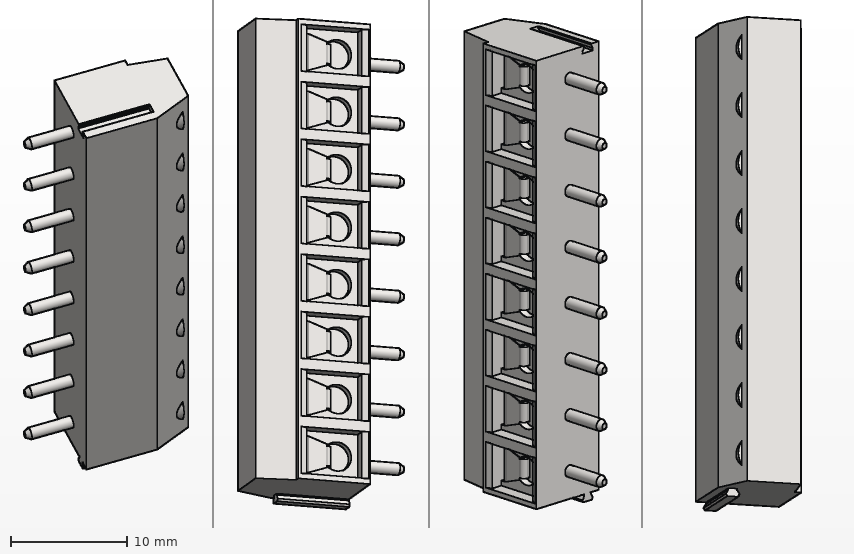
import cadquery as cq
import math


pole_count = 8
overall_length = 41.35
body_length = 40.63
pitch = body_length / pole_count

body_width = 7.5
body_height = 10.0
shoulder_height = 6.55
entry_ledge = 0.58
entry_top_x = 1.1
slope_top_x = 5.95

pocket_bottom = 0.12
pocket_top = 6.25
pocket_lead_in = 0.58
lead_in_depth = 0.25
pocket_width = 4.15
pocket_depth = 1.32

recess_depth = 0.8
wire_hole_y = 2.55
wire_hole_radius = 1.3
clamp_low_y = 3.47
clamp_high_y = 5.15
clamp_low_width = 2.05
clamp_high_width = 3.22

tongue_tip_width = 1.75
tongue_set_back = 0.05
bend_radius = pocket_top - pocket_lead_in - clamp_high_y

screw_radius = 2.0
screw_side_x = 6.55
screw_top_y = 9.4

pin_x = 3.95
pin_diameter = 1.07
pin_length = 4.3
pin_tip_length = 0.45
pin_tip_diameter = 0.55

dovetail_x = body_width - 1.32
dovetail_width = 1.25
tail_height = overall_length - body_length
tail_neck_width = 0.8
tail_neck_height = 0.12
tail_wide_height = 0.5
tail_end_width = 1.0
groove_depth = 0.65
groove_mouth_width = 1.0
groove_neck_width = 0.8
groove_chamfer_height = 0.1
groove_floor_height = 0.2

pocket_high_wall = pocket_top - pocket_lead_in
pocket_low_wall = pocket_bottom + pocket_lead_in
recess_floor_x = pocket_depth + recess_depth
tongue_tip_y = clamp_low_y - bend_radius


def make_body():
    outline = [
        (0, 0),
        (body_width, 0),
        (body_width, shoulder_height),
        (slope_top_x, body_height),
        (entry_top_x, body_height),
        (entry_ledge, shoulder_height),
        (0, shoulder_height),
    ]
    return cq.Workplane("XY").polyline(outline).close().extrude(body_length)


def make_pocket():
    """Wire entry pocket with sloped lead-ins at its top and bottom, centred on Z = 0."""
    outline = [
        (0, pocket_bottom),
        (lead_in_depth, pocket_low_wall),
        (pocket_depth, pocket_low_wall),
        (pocket_depth, pocket_high_wall),
        (lead_in_depth, pocket_high_wall),
        (0, pocket_top),
    ]
    return cq.Workplane("XY").polyline(outline).close().extrude(pocket_width / 2, both=True)


def make_clamp_plan():
    """Opening of the clamp, recess deep: straight top part, taper, and straight lower tip."""
    half_side = [
        (pocket_high_wall, clamp_high_width / 2),
        (clamp_high_y, clamp_high_width / 2),
        (clamp_low_y, clamp_low_width / 2),
        (clamp_low_y, tongue_tip_width / 2),
        (tongue_tip_y, tongue_tip_width / 2),
    ]
    mirrored = [(y, -z) for y, z in reversed(half_side)]
    points = half_side + mirrored
    face = cq.Workplane("YZ", origin=(pocket_depth, 0, 0))
    return face.polyline(points).close().extrude(recess_depth)


def make_recess():
    """Round wire hole joined to the tapered clamp opening."""
    wire_hole = (
        cq.Workplane("YZ", origin=(pocket_depth, 0, 0))
        .center(wire_hole_y, 0)
        .circle(wire_hole_radius)
        .extrude(recess_depth)
    )
    return wire_hole.union(make_clamp_plan())


def make_tongue():
    """Flat spring tongue, set slightly back, whose ends bend round to the recess floor."""
    face_x = pocket_depth + tongue_set_back
    bend_end_x = face_x + bend_radius
    bend_mid_in = bend_radius * (1 - math.sqrt(0.5))
    bend_mid_out = bend_radius * math.sqrt(0.5)
    top_y = clamp_high_y + bend_radius
    side_profile = (
        cq.Workplane("XY")
        .moveTo(face_x, clamp_low_y)
        .lineTo(face_x, clamp_high_y)
        .threePointArc((face_x + bend_mid_in, clamp_high_y + bend_mid_out), (bend_end_x, top_y))
        .lineTo(recess_floor_x, top_y)
        .lineTo(recess_floor_x, tongue_tip_y)
        .lineTo(bend_end_x, tongue_tip_y)
        .threePointArc((face_x + bend_mid_in, clamp_low_y - bend_mid_out), (face_x, clamp_low_y))
        .close()
        .extrude(clamp_high_width / 2, both=True)
    )
    return side_profile.intersect(make_clamp_plan())


def make_screw():
    """Screw head rising along Y from the shoulder level."""
    return (
        cq.Workplane("XZ", origin=(screw_side_x - screw_radius, screw_top_y, 0))
        .circle(screw_radius)
        .extrude(screw_top_y - shoulder_height)
    )


def make_pin():
    """Round solder pin with a conical tip, pointing to -Y."""
    straight_end = pin_tip_length - pin_length
    half_section = [
        (0, 0),
        (pin_diameter / 2, 0),
        (pin_diameter / 2, straight_end),
        (pin_tip_diameter / 2, -pin_length),
        (0, -pin_length),
    ]
    pin = cq.Workplane("XY").polyline(half_section).close().revolve(360, (0, 0, 0), (0, 1, 0))
    return pin.translate((pin_x, 0, 0))


def dovetail_prism(half_outline):
    """Mirror (X offset, Z) points about the dovetail centre and run them up to the shoulder."""
    right_side = [(dovetail_x + offset, z) for offset, z in half_outline]
    left_side = [(dovetail_x - offset, z) for offset, z in reversed(half_outline)]
    return cq.Workplane("XZ").polyline(right_side + left_side).close().extrude(-shoulder_height)


def make_tail():
    return dovetail_prism([
        (tail_neck_width / 2, 0),
        (tail_neck_width / 2, -tail_neck_height),
        (dovetail_width / 2, -tail_wide_height),
        (tail_end_width / 2, -tail_height),
    ])


def make_groove():
    floor_z = body_length - groove_depth
    return dovetail_prism([
        (groove_mouth_width / 2, body_length),
        (groove_neck_width / 2, body_length - groove_chamfer_height),
        (dovetail_width / 2, floor_z + groove_floor_height),
        (dovetail_width / 2, floor_z),
    ])


result = make_body().union(make_tail()).cut(make_groove())

wire_opening = make_pocket().union(make_recess()).cut(make_tongue())
screw_and_pin = [make_screw(), make_pin()]

for pole in range(pole_count):
    pole_shift = (0, 0, (pole + 0.5) * pitch)
    result = result.cut(wire_opening.translate(pole_shift))
    for fitting in screw_and_pin:
        result = result.union(fitting.translate(pole_shift))